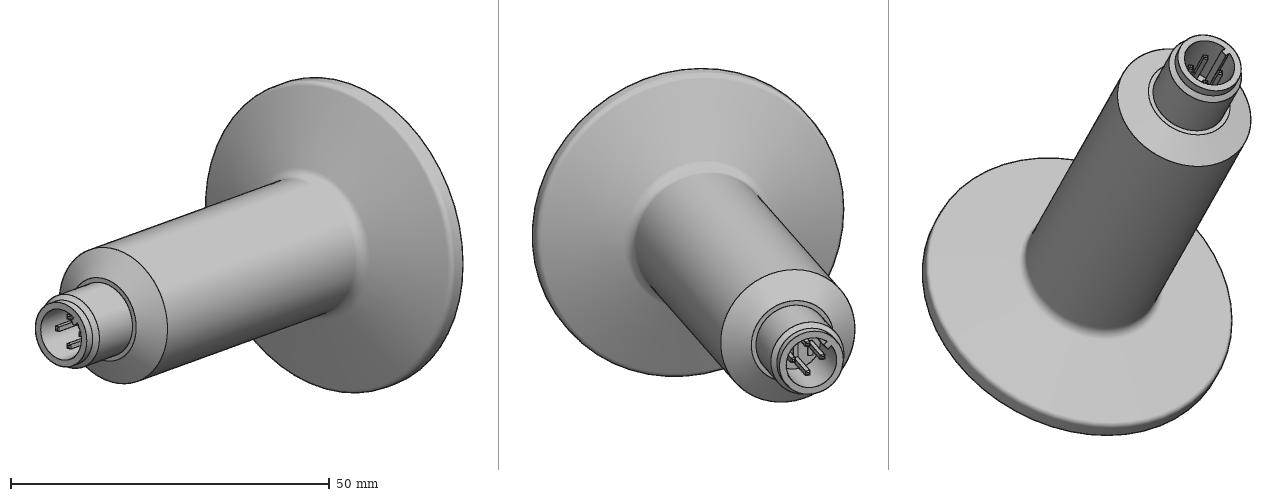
import cadquery as cq
import math

total_length = 68.9

flange_radius = 50.5 / 2
rim_width = 2.0
flange_blend = 0.95
cone_slope = math.radians(20)

body_radius = 22.05 / 2
neck_fillet = 2.0
body_end = 55.95

taper_end = 58.5
taper_end_radius = 6.75

plug_radius = 12.0 / 2
nose_radius = 10.5 / 2
shoulder_end = 67.45
shoulder_chamfer = plug_radius - nose_radius

socket_radius = 8.3 / 2
socket_depth = 8.95
key_width = 1.0
key_inner_radius = 3.3
key_angle = 45

pin_width = 0.75
pin_tip_chamfer = 0.2
pin_circle_radius = 2.4
pin_length = 7.2
pin_count = 4
bar_width = 0.75
bar_height = 0.35
side_bar_length = 2.0
overlap = 0.35


def blend_arc(center_y, center_r, radius, side):
    """Middle and end of a blend between a cylinder and the cone.

    The blend turns from a radial direction to the normal of the cone;
    side is +1 for an outside round and -1 for an inside fillet.
    """
    end_angle = math.pi / 2 - cone_slope
    points = []
    for angle in (end_angle / 2, end_angle):
        y = center_y - side * radius * math.sin(angle)
        r = center_r + side * radius * math.cos(angle)
        points.append((r, y))
    return points


def make_housing():
    """Turn the flange, body, taper and plug as one revolved outline."""
    rim_mid, cone_start = blend_arc(-rim_width, flange_radius - flange_blend, flange_blend, 1)

    fillet_center_r = body_radius + neck_fillet
    cone_end_r = fillet_center_r - neck_fillet * math.sin(cone_slope)
    cone_end_y = cone_start[1] - (cone_start[0] - cone_end_r) * math.tan(cone_slope)
    fillet_center_y = cone_end_y - neck_fillet * math.cos(cone_slope)
    fillet_mid, cone_end = blend_arc(fillet_center_y, fillet_center_r, neck_fillet, -1)

    return (
        cq.Workplane("XY")
        .lineTo(flange_radius, 0)
        .lineTo(flange_radius, -rim_width)
        .threePointArc(rim_mid, cone_start)
        .lineTo(*cone_end)
        .threePointArc(fillet_mid, (body_radius, fillet_center_y))
        .lineTo(body_radius, -body_end)
        .lineTo(taper_end_radius, -taper_end)
        .lineTo(plug_radius, -taper_end)
        .lineTo(plug_radius, -(shoulder_end - shoulder_chamfer))
        .lineTo(nose_radius, -shoulder_end)
        .lineTo(nose_radius, -total_length)
        .lineTo(0, -total_length)
        .close()
        .revolve(360, (0, 0), (0, 1))
    )


def toward_connector(start):
    """Workplane at a distance from the flange face; local x, y are X, Z and extrusion is toward -Y."""
    return cq.Workplane("XZ", origin=(0, -start, 0))


floor_position = total_length - socket_depth
foot_position = floor_position - overlap


def make_key():
    """Rib along the socket wall, flush with the nose."""
    radial_length = socket_radius + overlap - key_inner_radius
    return (
        toward_connector(foot_position)
        .transformed(rotate=(0, 0, key_angle))
        .center(key_inner_radius + radial_length / 2, 0)
        .rect(radial_length, key_width)
        .extrude(socket_depth + overlap)
    )


def make_pins():
    """Four square contacts with chamfered tips, evenly spaced about the axis."""
    return (
        toward_connector(foot_position)
        .polarArray(pin_circle_radius, 0, 360, pin_count)
        .rect(pin_width, pin_width)
        .extrude(pin_length + overlap)
        .faces("<Y")
        .chamfer(pin_tip_chamfer)
    )


def make_floor_bars():
    """A bar joining the upper and lower pins and one below each side pin."""
    height = bar_height + overlap
    side_bars = (
        toward_connector(foot_position)
        .pushPoints([(side * pin_circle_radius, -side_bar_length / 2) for side in (-1, 1)])
        .rect(bar_width, side_bar_length)
        .extrude(height)
    )
    middle_bar = toward_connector(foot_position).rect(bar_width, 2 * pin_circle_radius).extrude(height)
    return side_bars.union(middle_bar)


socket = toward_connector(floor_position).circle(socket_radius).extrude(socket_depth)

result = (
    make_housing()
    .cut(socket)
    .union(make_key())
    .union(make_floor_bars())
    .union(make_pins())
)